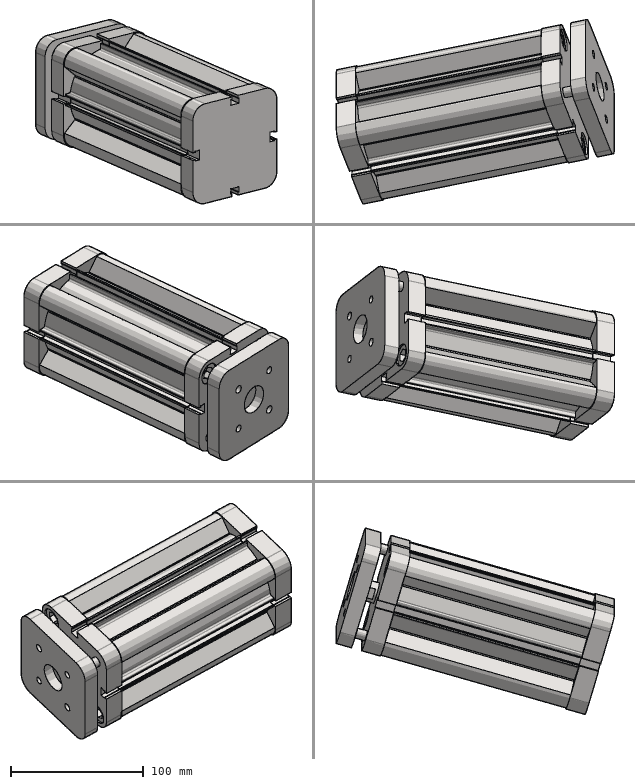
import cadquery as cq
import math

total_length = 195.0
plate_thickness = 11.9
front_cap_start = 20.0
front_cap_end = 34.7
rear_cap_start = 180.0

body_width = 79.5
corner_radius = 11.3
half_width = body_width / 2
corner_center = half_width - corner_radius

center_recess_diameter = 22.0
center_recess_depth = 7.8
plate_hole_offset = 17.5
large_hole_diameter = 6.0
small_hole_diameter = 5.5

piston_diameter = 16.0
piston_flat_width = 13.6
piston_flat_end = 18.1
rod_offset = 28.0
guide_diameter = 7.8

screw_recess_diameter = 16.8
screw_recess_depth = 1.4
socket_width = 9.0
socket_depth = 5.5

cap_mouth_width = 6.0
cap_slot_width = 7.6
barrel_slot_width = 6.6
slot_lip_depth = 2.3
cap_slot_floor = 33.3
barrel_slot_floor = 32.5
slot_cavity_top = half_width - slot_lip_depth

barrel_corner_radius = corner_radius - 0.8
tube_radius = 33.7
flute_edge = 26.5
flute_foot = 17.7
flute_foot_height = 29.0
tube_edge = 16.5
lip_base = 6.0
lip_half_width = 4.7
lip_height = 37.8
lip_round = 0.4
barrel_mouth_width = 5.3
mouth_chamfer = 0.4


def axial_plane(x):
    """Plane across the axis at x: local x is Y, local y is Z, normal is +X."""
    return cq.Workplane(cq.Plane(origin=(x, 0, 0), xDir=(0, 1, 0), normal=(1, 0, 0)))


def height_on_circle(radius, offset):
    return math.sqrt(radius**2 - offset**2)


def square_block(start, end):
    """Square block with rounded long edges."""
    block = axial_plane(start).rect(body_width, body_width).extrude(end - start)
    return block.edges("|X").fillet(corner_radius)


def four_sided(shape):
    """The shape repeated on all four sides."""
    sides = shape
    for turn in (90, 180, 270):
        sides = sides.union(shape.rotate((0, 0, 0), (1, 0, 0), turn))
    return sides


def cap_slots(start, end):
    """T-slots of a cap."""
    length = end - start
    mouth_depth = half_width - cap_slot_floor
    mouth_middle = half_width - mouth_depth / 2
    mouth = axial_plane(start).center(0, mouth_middle).rect(cap_mouth_width, mouth_depth).extrude(length)
    return four_sided(mouth.union(slot_cavity(start, length, cap_slot_width, cap_slot_floor)))


def slot_cavity(start, length, width, floor):
    """Wide inner part of a T-slot on the upper side."""
    cavity_depth = slot_cavity_top - floor
    cavity_middle = floor + cavity_depth / 2
    return axial_plane(start).center(0, cavity_middle).rect(width, cavity_depth).extrude(length)


def cap(start, end):
    return square_block(start, end).cut(cap_slots(start, end))


def barrel_sector(length):
    """Quarter of the barrel: the upper side out to the middle of the two upper corner rounds."""
    diagonal_reach = barrel_corner_radius * math.sin(math.pi / 4)
    corner_middle = corner_center + diagonal_reach
    flute_top = corner_center + height_on_circle(barrel_corner_radius, corner_center - flute_edge)
    tube_edge_height = height_on_circle(tube_radius, tube_edge)
    lip_base_height = height_on_circle(tube_radius, lip_base)
    arc_middle = (tube_edge + lip_base) / 2
    arc_middle_height = height_on_circle(tube_radius, arc_middle)
    foot_radius = lip_base - lip_half_width
    foot_middle = lip_base - foot_radius * math.sin(math.pi / 4)
    foot_middle_height = lip_base_height + foot_radius * (1 - math.cos(math.pi / 4))
    round_drop = lip_round * (1 - math.cos(math.pi / 4))
    lip_round_middle = (lip_half_width - round_drop, lip_height - round_drop)
    right = (
        axial_plane(front_cap_end)
        .lineTo(corner_middle, corner_middle)
        .threePointArc((corner_center, corner_center + barrel_corner_radius), (flute_edge, flute_top))
        .lineTo(flute_foot, flute_foot_height)
        .lineTo(tube_edge, flute_foot_height)
        .lineTo(tube_edge, tube_edge_height)
        .threePointArc((arc_middle, arc_middle_height), (lip_base, lip_base_height))
        .threePointArc((foot_middle, foot_middle_height), (lip_half_width, lip_base_height + foot_radius))
        .lineTo(lip_half_width, lip_height - lip_round)
        .threePointArc(lip_round_middle, (lip_half_width - lip_round, lip_height))
        .lineTo(barrel_mouth_width / 2 + mouth_chamfer, lip_height)
        .lineTo(barrel_mouth_width / 2, lip_height - mouth_chamfer)
        .lineTo(barrel_mouth_width / 2, barrel_slot_floor)
        .lineTo(0, barrel_slot_floor)
        .close()
        .extrude(length)
    )
    return right.union(right.mirror("XZ"))


def make_barrel():
    """Fluted extrusion between the caps."""
    length = rear_cap_start - front_cap_end
    cavity = slot_cavity(front_cap_end, length, barrel_slot_width, barrel_slot_floor)
    return four_sided(barrel_sector(length).cut(cavity)).clean()


def cap_screw_recess(y, z):
    """Shallow round recess with a hexagon socket; two socket flats face Y."""
    head = axial_plane(front_cap_start).center(y, z).circle(screw_recess_diameter / 2)
    recess = head.extrude(screw_recess_depth)
    socket_corner_diameter = socket_width / math.cos(math.pi / 6)
    socket = (
        axial_plane(front_cap_start)
        .center(y, z)
        .transformed(rotate=(0, 0, 30))
        .polygon(6, socket_corner_diameter)
        .extrude(screw_recess_depth + socket_depth)
    )
    return recess.union(socket)


def make_housing():
    """Front cap, barrel and rear cap in one piece."""
    body = cap(front_cap_start, front_cap_end).union(make_barrel()).union(cap(rear_cap_start, total_length))
    for side in (1, -1):
        body = body.cut(cap_screw_recess(side * rod_offset, side * rod_offset))
    return body


def make_yoke_plate():
    """Plate with a blind centre recess and two diagonal pairs of through holes."""
    offset = plate_hole_offset
    large_holes = [(offset, offset), (-offset, -offset)]
    small_holes = [(-offset, offset), (offset, -offset)]
    plate = square_block(0, plate_thickness)
    plate = plate.cut(axial_plane(0).circle(center_recess_diameter / 2).extrude(center_recess_depth))
    for points, diameter in ((large_holes, large_hole_diameter), (small_holes, small_hole_diameter)):
        plate = plate.cut(axial_plane(0).pushPoints(points).circle(diameter / 2).extrude(plate_thickness))
    return plate


def make_piston_rod():
    """Round rod with two wrench flats facing up and down at the plate end."""
    rod = axial_plane(plate_thickness).circle(piston_diameter / 2).extrude(front_cap_start - plate_thickness)
    flats_length = piston_flat_end - plate_thickness
    outside = axial_plane(plate_thickness).rect(piston_diameter, piston_diameter).extrude(flats_length)
    between = axial_plane(plate_thickness).rect(piston_diameter, piston_flat_width).extrude(flats_length)
    return rod.cut(outside.cut(between))


def make_guide_rod(y, z):
    """Round guide rod spanning the gap from the plate to the front cap."""
    rod_length = front_cap_start - plate_thickness
    return axial_plane(plate_thickness).center(y, z).circle(guide_diameter / 2).extrude(rod_length)


housing = make_housing()
yoke_plate = make_yoke_plate()
piston_rod = make_piston_rod()
guide_rods = []
for side in (1, -1):
    guide_rods.append(make_guide_rod(-side * rod_offset, side * rod_offset).val())

result = cq.Compound.makeCompound(
    [housing.val(), yoke_plate.val(), piston_rod.val(), *guide_rods]
)